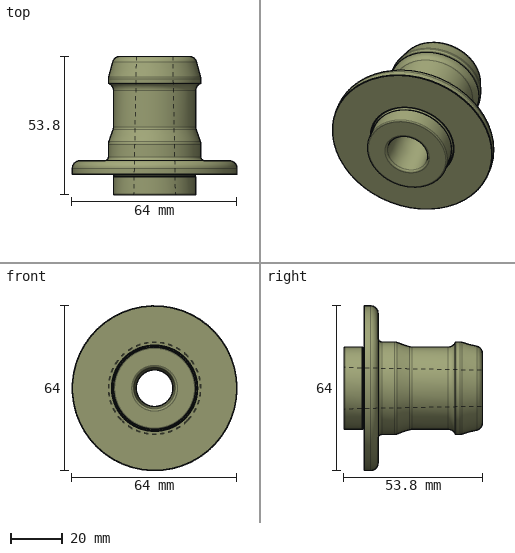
import cadquery as cq
import math

length = 53.8
flange_radius = 32.0
tube_radius = 16.0
barb_radius = 18.0
edge_round = 3.0

spigot_edge_round = 0.5
flange_front = 7.95
flange_back = 13.4
flange_edge_chamfer = 0.2

relief_depth = 0.2
relief_ramp = 0.4
relief_round = 0.6
relief_flat = 0.05
relief_outer_radius = 16.8

collar_root_round = 1.5
collar_cone_start = 20.2
collar_cone_end = 25.9
groove_end = 43.2
barb_cone_start = 45.4
barb_angle = math.radians(15)
lip_round = 0.25

bore_mouth_radius = 8.05
bore_tip_radius = 7.05
bore_mouth_round = 0.8


def corner_blend(previous, corner, following, radius):
    """Return start, middle and end of an arc tangent to both sides of a corner."""
    before = (cq.Vector(*previous) - cq.Vector(*corner)).normalized()
    after = (cq.Vector(*following) - cq.Vector(*corner)).normalized()
    half_angle = before.getAngle(after) / 2
    setback = radius / math.tan(half_angle)
    corner_point = cq.Vector(*corner)
    start = corner_point + before * setback
    end = corner_point + after * setback
    bisector = (before + after).normalized()
    middle = corner_point + bisector * (radius / math.sin(half_angle) - radius)
    return [(point.x, point.y) for point in (start, middle, end)]


def revolve_outline(corners):
    """Revolve (radius, y, blend radius) corners about Y; blend 0 keeps a sharp corner."""
    points = [(radius, y) for radius, y, _ in corners]
    outline = cq.Workplane("XY").moveTo(*points[0])
    for i in range(1, len(corners)):
        blend = corners[i][2]
        if blend == 0:
            outline = outline.lineTo(*points[i])
            continue
        following = points[(i + 1) % len(points)]
        start, middle, end = corner_blend(points[i - 1], points[i], following, blend)
        outline = outline.lineTo(*start).threePointArc(middle, end)
    return outline.close().revolve(360, (0, 0, 0), (0, 1, 0))


def make_body():
    relief_radius = tube_radius - relief_depth
    relief_floor = flange_front + relief_depth
    relief_start = relief_floor - relief_round - relief_flat - relief_ramp
    tip_radius = barb_radius - (length - barb_cone_start) * math.tan(barb_angle)
    return revolve_outline([
        (0, 0, 0),
        (tube_radius, 0, spigot_edge_round),
        (tube_radius, relief_start, 0),
        (relief_radius, relief_start + relief_ramp, 0),
        (relief_radius, relief_floor, relief_round),
        (relief_radius + relief_round + relief_flat, relief_floor, 0),
        (relief_outer_radius, flange_front, 0),
        (flange_radius - flange_edge_chamfer, flange_front, 0),
        (flange_radius, flange_front + flange_edge_chamfer, 0),
        (flange_radius, flange_back, edge_round),
        (barb_radius, flange_back, collar_root_round),
        (barb_radius, collar_cone_start, edge_round),
        (tube_radius, collar_cone_end, edge_round),
        (tube_radius, groove_end, 0),
        (barb_radius, groove_end, lip_round),
        (barb_radius, barb_cone_start, edge_round),
        (tip_radius, length, edge_round),
        (0, length, 0),
    ])


def make_groove_round():
    """Concave ring that runs from the tube up to the back of the barb lip."""
    rise = barb_radius - lip_round - tube_radius
    run = math.sqrt(edge_round**2 - (edge_round - rise)**2)
    sweep = math.atan2(run, edge_round - rise)
    center_radius = tube_radius + edge_round
    center_y = groove_end - run
    middle = (
        center_radius - edge_round * math.cos(sweep / 2),
        center_y + edge_round * math.sin(sweep / 2),
    )
    overlap = 0.65
    return (
        cq.Workplane("XY")
        .moveTo(tube_radius, center_y)
        .threePointArc(middle, (tube_radius + rise, groove_end))
        .lineTo(tube_radius + rise, groove_end + overlap)
        .lineTo(tube_radius - overlap, groove_end + overlap)
        .lineTo(tube_radius - overlap, center_y)
        .close()
        .revolve(360, (0, 0, 0), (0, 1, 0))
    )


def make_bore():
    mouth_arc = corner_blend(
        (bore_mouth_radius + bore_mouth_round, 0),
        (bore_mouth_radius, 0),
        (bore_tip_radius, length),
        bore_mouth_round,
    )
    return (
        cq.Workplane("XY")
        .lineTo(*mouth_arc[0])
        .threePointArc(*mouth_arc[1:])
        .lineTo(bore_tip_radius, length)
        .lineTo(0, length)
        .close()
        .revolve(360, (0, 0, 0), (0, 1, 0))
    )


result = make_body().union(make_groove_round()).cut(make_bore())